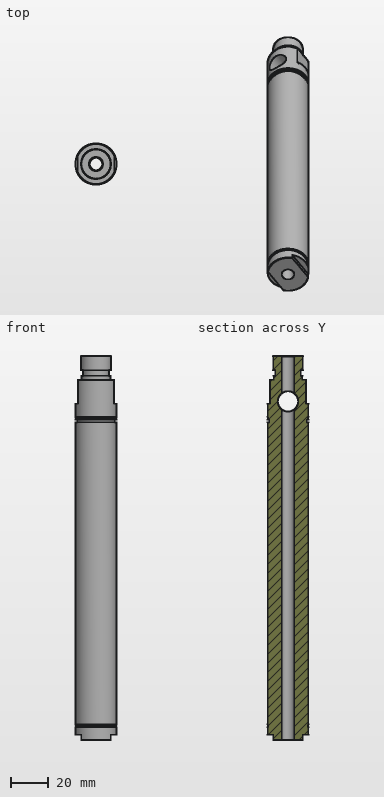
import cadquery as cq

body_diameter = 21.84
total_length = 202.44
bore_diameter = 6.5
bore_chamfer = 0.5

spigot_diameter = 15.9
spigot_height = 7.5
neck_diameter = 13.8
neck_height = 3.0
collar_diameter = 15.4
collar_height = 2.0
spigot_chamfer = 0.3

head_height = 19.6
head_chamfer = 0.4
wrench_flat_width = 19.05
wrench_flat_height = 12.7
port_diameter = 10.6
port_drop = 11.5

head_groove_height = 1.3
head_groove_diameter = 20.0
seam_height = 1.6
seam_bevel = 0.5
seam_depth = 0.25
cap_height = 6.7

tang_width = 15.6
tang_height = 2.8
end_chamfer = 0.3

spigot_base = total_length - spigot_height
neck_base = spigot_base - neck_height
head_top = neck_base - collar_height
head_base = head_top - head_height


def cylinder(diameter, bottom, top):
    return cq.Workplane("XY").workplane(offset=bottom).circle(diameter / 2).extrude(top - bottom)


def ring_groove(floor_diameter, bottom, height):
    """Ring of material to remove down to the groove floor."""
    outside = cylinder(2 * body_diameter, bottom, bottom + height)
    return outside.cut(cylinder(floor_diameter, bottom, bottom + height))


def seam_groove(bottom):
    """Shallow ring around the body with bevelled upper and lower walls."""
    radius = body_diameter / 2
    profile = cq.Workplane("XZ").polyline(
        [
            (radius, bottom),
            (radius - seam_depth, bottom + seam_bevel),
            (radius - seam_depth, bottom + seam_height - seam_bevel),
            (radius, bottom + seam_height),
            (body_diameter, bottom + seam_height),
            (body_diameter, bottom),
        ]
    )
    return profile.close().revolve(360, (0, 0, 0), (0, 1, 0))


def flat_pair(width, bottom, top):
    """Two blocks that leave parallel flats facing -X and +X."""
    height = top - bottom
    blocks = cq.Workplane("XY")
    for side in (-1, 1):
        center_x = side * (width + body_diameter) / 2
        blocks = blocks.union(
            cq.Workplane("XY")
            .box(body_diameter, 2 * body_diameter, height)
            .translate((center_x, 0, bottom + height / 2))
        )
    return blocks


def make_body():
    body = cylinder(body_diameter, 0, head_top)
    body = body.faces("<Z").chamfer(end_chamfer)
    return body.faces(">Z").chamfer(head_chamfer)


def make_spigot():
    spigot = cylinder(spigot_diameter, spigot_base, total_length).faces(">Z").chamfer(spigot_chamfer)
    neck = cylinder(neck_diameter, neck_base, spigot_base)
    collar = cylinder(collar_diameter, head_top, neck_base)
    return spigot.union(neck).union(collar)


def side_port():
    """Radial hole from the +Y side into the bore."""
    port = cq.Workplane("XZ").circle(port_diameter / 2).extrude(-body_diameter)
    return port.translate((0, 0, head_top - port_drop))


def bore():
    """Through bore, widened by a chamfer at the spigot mouth."""
    radius = bore_diameter / 2
    profile = cq.Workplane("XZ").polyline(
        [
            (0, 0),
            (radius, 0),
            (radius, total_length - bore_chamfer),
            (radius + bore_chamfer, total_length),
            (0, total_length),
        ]
    )
    return profile.close().revolve(360, (0, 0, 0), (0, 1, 0))


head_seam_base = head_base - seam_height
head_groove_base = head_seam_base - head_groove_height

result = make_body().union(make_spigot())
result = result.cut(flat_pair(wrench_flat_width, head_top - wrench_flat_height, head_top))
result = result.cut(flat_pair(tang_width, 0, tang_height))
result = result.cut(seam_groove(head_seam_base))
result = result.cut(ring_groove(head_groove_diameter, head_groove_base, head_groove_height))
result = result.cut(seam_groove(cap_height))
result = result.cut(side_port())
result = result.cut(bore())